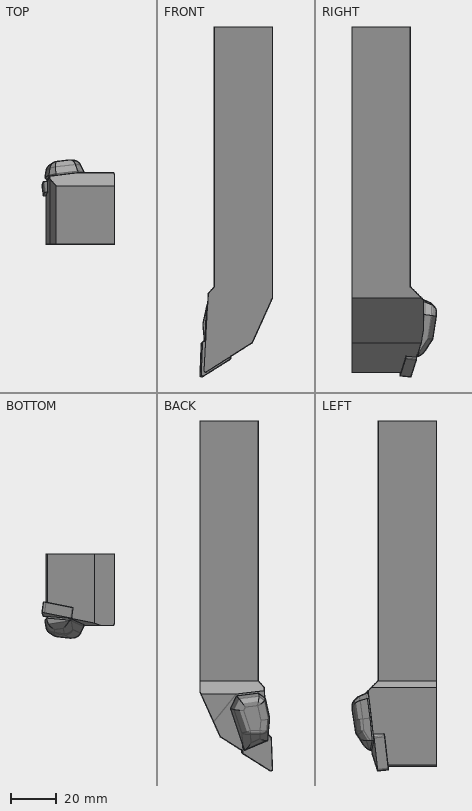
import cadquery as cq
import math


total_height = 152.4
shank_size = 25.5
head_depth = 31.2
slope_start_z = 39.3
head_bevel_x = -2.6
head_bevel_z = 36.4
tip_x = -4.4
tip_z = 2.6
tip_flat = 0.6
heel_x = 16.6
heel_z = 15.0
back_relief_z = 34.5

seat_origin_y = 26.4
seat_rise_x = 0.133
seat_rise_z = 0.107

cutter_size = 91.5
cutter_height = 30.5

insert_side = 15.5
insert_thickness = 4.7
insert_angle = 55.0
insert_edge_angle = 32.0
nose_radius = 0.8
nose_center = (-5.5, 0.8)

clamp_height = 6.5
clamp_draft = 17.0
clamp_fillet = 3.8
clamp_root = 4.5
foot_height = 0.8
fixed_corners = [(-2.6, 31.9), (0.5, 34.1), (10.0, 32.9), (12.6, 27.5), (6.2, 9.1)]
cap_left_corners = [(-3.8, 13.4), (-4.5, 23.3)]
foot_left_corners = [(-3.7, 13.4), (-3.5, 23.3)]
nose_start_z = 17.5
nose_slope = 26.0
nose_run = 21.3
upper_face_cosine = 0.7

seat_plane = cq.Plane(
    origin=(0, seat_origin_y, 0),
    xDir=(1, seat_rise_x, 0),
    normal=(seat_rise_x, -1, seat_rise_z),
)


def direction(angle):
    return cq.Vector(math.cos(math.radians(angle)), math.sin(math.radians(angle)))


def make_insert():
    half_angle = insert_angle / 2
    corner_distance = nose_radius / math.sin(math.radians(half_angle))
    tip = cq.Vector(*nose_center) - direction(insert_edge_angle + half_angle) * corner_distance
    lower_edge = direction(insert_edge_angle) * insert_side
    side_edge = direction(insert_edge_angle + insert_angle) * insert_side
    corners = [tip, tip + lower_edge, tip + lower_edge + side_edge, tip + side_edge]
    outline = [(corner.x, corner.y) for corner in corners]
    plate = cq.Workplane(seat_plane).polyline(outline).close().extrude(insert_thickness)
    return plate.edges(cq.selectors.ParallelDirSelector(seat_plane.zDir)).fillet(nose_radius)


def make_shank_and_head():
    front_outline = [
        (0, total_height), (0, slope_start_z), (head_bevel_x, head_bevel_z),
        (tip_x, tip_z), (tip_x + tip_flat, tip_z - tip_flat),
        (heel_x, heel_z), (shank_size, back_relief_z), (shank_size, total_height),
    ]
    side_outline = [
        (0, 0), (head_depth, 0), (head_depth, slope_start_z - (head_depth - shank_size)),
        (shank_size, slope_start_z), (shank_size, total_height), (0, total_height),
    ]
    front_prism = cq.Workplane("XZ").polyline(front_outline).close().extrude(-head_depth)
    side_prism = cq.Workplane("YZ").polyline(side_outline).close().extrude(shank_size, both=True)
    above_seat = cq.Workplane(seat_plane).rect(cutter_size, cutter_size).extrude(-cutter_height)
    return front_prism.intersect(side_prism).cut(above_seat)


def make_clamp_cap():
    root_growth = (clamp_root + foot_height) * math.tan(math.radians(clamp_draft))
    root_plane = cq.Workplane(seat_plane).workplane(offset=clamp_root)
    root_outline = root_plane.polyline(fixed_corners + cap_left_corners).close()
    root_outline = root_outline.offset2D(root_growth, "intersection")
    cap = root_outline.extrude(-clamp_root - clamp_height, taper=clamp_draft)

    nose_plane = cq.Plane(origin=seat_plane.origin, xDir=seat_plane.yDir, normal=seat_plane.xDir)
    nose_end_z = nose_start_z - nose_run
    nose_drop = nose_run * math.tan(math.radians(nose_slope))
    nose_profile = [
        (nose_start_z, -clamp_height), (nose_end_z, nose_drop - clamp_height), (nose_end_z, -clamp_height),
    ]
    cap = cap.cut(cq.Workplane(nose_plane).polyline(nose_profile).close().extrude(cutter_height, both=True))

    outward = seat_plane.zDir * -1
    upper_faces = [face for face in cap.faces().vals() if face.normalAt().dot(outward) > upper_face_cosine]
    cap = cap.newObject(upper_faces).edges().fillet(clamp_fillet)

    foot_plane = cq.Workplane(seat_plane).workplane(offset=-foot_height)
    return cap.cut(foot_plane.rect(cutter_size, cutter_size).extrude(cutter_height))


def make_clamp_foot():
    bottom = cq.Workplane(seat_plane).polyline(fixed_corners + foot_left_corners).close()
    top = bottom.workplane(offset=-foot_height).polyline(fixed_corners + cap_left_corners).close()
    return top.loft(ruled=True)


def make_holder(pocket_shape):
    clamp = make_clamp_cap().union(make_clamp_foot())
    return make_shank_and_head().cut(pocket_shape).union(clamp)


insert = make_insert()
holder = make_holder(insert)

result = cq.Compound.makeCompound([holder.solids().val(), insert.val()])